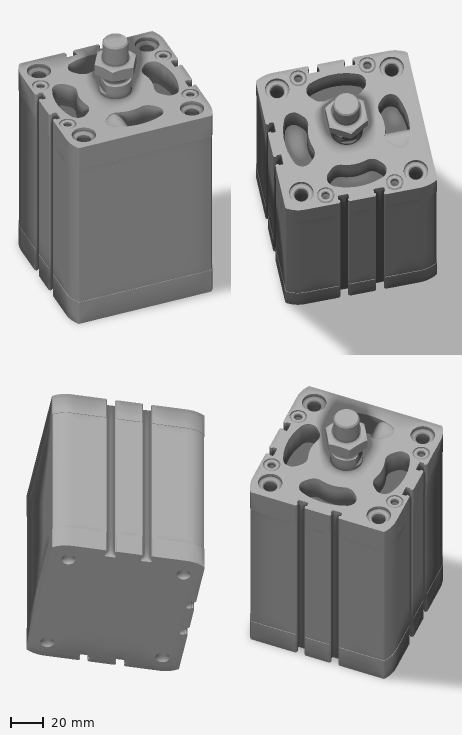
import cadquery as cq
import math


BODY_WIDTH = 95.5
BODY_HEIGHT = 133.8
CAP_HEIGHT = 16.3
BARREL_INSET = 0.3
CORNER_ARC_START = 36.2
CORNER_ARC_RADIUS = 21.0
CORNER_EDGE_RADIUS = 1.2

SLOT_OFFSET = 11.25
SLOT_NECK_WIDTH = 5.0
SLOT_WIDTH = 6.8
SLOT_DEPTH = 5.1
SLOT_LIP = 2.0
SLOT_LIP_CHAMFER = 0.8
SLOT_ROUND = 0.7

MOUNT_OFFSET = 36.0
MOUNT_BORE_DIAMETER = 8.57
MOUNT_CHAMFER_DIAMETER = 10.0
MOUNT_RECESS_DIAMETER = 15.0
MOUNT_RECESS_DEPTH = 2.6

SCREW_X = 21.7
SCREW_Y = 40.8
SCREW_RECESS_DIAMETER = 10.7
SCREW_RECESS_DEPTH = 1.0
SCREW_HEAD_DIAMETER = 10.0
SCREW_HEAD_TOP_DIAMETER = 8.38
SCREW_SOCKET_DIAMETER = 5.0
SCREW_SOCKET_RIM_DIAMETER = 6.0
SCREW_SOCKET_DEPTH = 3.0
SCREW_SOCKET_CONE_ANGLE = 120.0

POCKET_INNER_RADIUS = 23.7
POCKET_OUTER_RADIUS = 39.0
POCKET_INNER_ROUND = 7.2
POCKET_OUTER_ROUND = 6.0
RIB_HALF_WIDTH = 6.6
POCKET_DEPTH = 16.0
POCKET_DRAFT = 2.5

PORT_BOSS_RADIUS = 7.5
PORT_BOSS_Y = -11.8
PORT_BOSS_TOP = -0.5

ROD_DIAMETER = 20.0
ROD_SHOULDER_Z = 9.4
ROD_TOP_Z = 37.6
ROD_INSERTION = CAP_HEIGHT
ROD_FLAT_WIDTH = 17.0
ROD_FLAT_START_Z = 2.6
ROD_FLAT_RUNOUT_ANGLE = 35.0
THREAD_DIAMETER = 16.0
THREAD_TOP_DIAMETER = 14.38
THREAD_TOP_CHAMFER = 1.1
NECK_DIAMETER = 13.5
NECK_BASE_DIAMETER = 14.38
NECK_FLARE_TOP_Z = 10.5
NECK_TOP_Z = 12.2
NECK_CONE_ANGLE = 20.0

NUT_BOTTOM_Z = 15.4
NUT_HEIGHT = 8.0
NUT_ACROSS_FLATS = 24.0
NUT_CHAMFER_ANGLE = 20.0


def four_places(x, y):
    """The point (x, y) mirrored into all four quadrants."""
    return [(sx * x, sy * y) for sx in (-1, 1) for sy in (-1, 1)]


def revolved(points):
    """Solid of revolution about Z from (radius, z) points."""
    return cq.Workplane("XZ").polyline(points).close().revolve(360, (0, 0, 0), (0, 1, 0))


def housing_prism(inset, z_bottom, height):
    """Square prism with flat sides joined by wide corner arcs."""
    half = BODY_WIDTH / 2 - inset
    arc_center_y = half - CORNER_ARC_RADIUS

    def arc_height(x):
        return arc_center_y + math.sqrt(CORNER_ARC_RADIUS**2 - (x - CORNER_ARC_START) ** 2)

    x_mid = (CORNER_ARC_START + half) / 2
    y_mid = arc_height(x_mid)
    y_end = arc_height(half)
    start = CORNER_ARC_START
    prism = (
        cq.Workplane("XY", origin=(0, 0, z_bottom))
        .moveTo(-start, half)
        .lineTo(start, half)
        .threePointArc((x_mid, y_mid), (half, y_end))
        .lineTo(half, -y_end)
        .threePointArc((x_mid, -y_mid), (start, -half))
        .lineTo(-start, -half)
        .threePointArc((-x_mid, -y_mid), (-half, -y_end))
        .lineTo(-half, y_end)
        .threePointArc((-x_mid, y_mid), (-start, half))
        .close()
        .extrude(height)
    )
    return prism.edges("|Z").edges("<X or >X").fillet(CORNER_EDGE_RADIUS)


def t_slot():
    """T-slot cutter open towards +Y, standing on the +Y side at x = 0."""
    face = BODY_WIDTH / 2
    floor = face - SLOT_DEPTH
    height = BODY_HEIGHT
    neck = SLOT_NECK_WIDTH / 2
    mouth = neck + SLOT_LIP_CHAMFER
    wide_length = SLOT_DEPTH - SLOT_LIP
    wide = (
        cq.Workplane("XY", origin=(0, floor + wide_length / 2, -height / 2))
        .box(SLOT_WIDTH, wide_length, height)
        .edges("|Z")
        .fillet(SLOT_ROUND)
    )
    opening = (
        cq.Workplane("XY", origin=(0, 0, -height))
        .polyline([
            (-neck, floor), (neck, floor), (neck, face - SLOT_LIP_CHAMFER),
            (mouth, face), (-mouth, face), (-neck, face - SLOT_LIP_CHAMFER),
        ])
        .close()
        .extrude(height)
    )
    return wide.union(opening)


def mounting_hole():
    """Through bore with a chamfered rim at the floor of a round recess."""
    bore = MOUNT_BORE_DIAMETER / 2
    rim = MOUNT_CHAMFER_DIAMETER / 2
    recess = MOUNT_RECESS_DIAMETER / 2
    floor = -MOUNT_RECESS_DEPTH
    return revolved([
        (0, 0), (recess, 0), (recess, floor), (rim, floor),
        (bore, floor - (rim - bore)), (bore, -BODY_HEIGHT), (0, -BODY_HEIGHT),
    ])


def screw_gap():
    """Ring-shaped gap around a cap screw head with a chamfered edge."""
    outer = SCREW_RECESS_DIAMETER / 2
    head = SCREW_HEAD_DIAMETER / 2
    head_top = SCREW_HEAD_TOP_DIAMETER / 2
    return revolved([
        (head_top, 0), (outer, 0), (outer, -SCREW_RECESS_DEPTH),
        (head, -SCREW_RECESS_DEPTH), (head, head_top - head),
    ])


def screw_socket():
    """Blind hole in a cap screw, with a chamfered rim and a conical end."""
    bore = SCREW_SOCKET_DIAMETER / 2
    rim = SCREW_SOCKET_RIM_DIAMETER / 2
    tip = bore / math.tan(math.radians(SCREW_SOCKET_CONE_ANGLE / 2))
    return revolved([
        (0, 0), (rim, 0), (bore, bore - rim),
        (bore, -SCREW_SOCKET_DEPTH), (0, -SCREW_SOCKET_DEPTH - tip),
    ])


def pocket_outline(inset, z):
    """Wire of a pocket centred on the +X axis: a ring sector between diagonal ribs, rounded off."""
    inner_radius = POCKET_INNER_RADIUS + inset
    outer_radius = POCKET_OUTER_RADIUS - inset
    inner_round = POCKET_INNER_ROUND - inset
    outer_round = POCKET_OUTER_ROUND - inset
    rib = RIB_HALF_WIDTH + inset
    rib_slope = math.radians(45)

    def round_center(distance, radius):
        angle = rib_slope - math.asin((rib + radius) / distance)
        return (distance * math.cos(angle), distance * math.sin(angle))

    def on_round(center, radius, angle):
        return (center[0] + radius * math.cos(angle), center[1] + radius * math.sin(angle))

    def mirrored(point):
        return (point[0], -point[1])

    outer = round_center(outer_radius - outer_round, outer_round)
    inner = round_center(inner_radius + inner_round, inner_round)
    rib_normal = rib_slope + math.pi / 2
    outer_start = math.atan2(outer[1], outer[0])
    inner_end = math.atan2(inner[1], inner[0]) + math.pi
    outer_a = on_round(outer, outer_round, outer_start)
    outer_b = on_round(outer, outer_round, (outer_start + rib_normal) / 2)
    outer_c = on_round(outer, outer_round, rib_normal)
    inner_a = on_round(inner, inner_round, rib_normal)
    inner_b = on_round(inner, inner_round, (rib_normal + inner_end) / 2)
    inner_c = on_round(inner, inner_round, inner_end)
    outline = (
        cq.Workplane("XY", origin=(0, 0, z))
        .moveTo(*mirrored(outer_a))
        .threePointArc((outer_radius, 0), outer_a)
        .threePointArc(outer_b, outer_c)
        .lineTo(*inner_a)
        .threePointArc(inner_b, inner_c)
        .threePointArc((inner_radius, 0), mirrored(inner_c))
        .threePointArc(mirrored(inner_b), mirrored(inner_a))
        .lineTo(*mirrored(outer_c))
        .threePointArc(mirrored(outer_b), mirrored(outer_a))
        .close()
    )
    return outline.val()


def kidney_pocket():
    """Pocket cutter on the +X side whose drafted walls close in towards the floor."""
    floor_inset = POCKET_DEPTH * math.tan(math.radians(POCKET_DRAFT))
    rim = pocket_outline(0, 0)
    floor = pocket_outline(floor_inset, -POCKET_DEPTH)
    return cq.Workplane(cq.Solid.makeLoft([rim, floor], True))


def port_boss():
    """Material left in the +X pocket: a quarter round running along X, flat beyond it."""
    length = BODY_WIDTH / 2
    center_z = PORT_BOSS_TOP - PORT_BOSS_RADIUS
    sin45 = math.sin(math.radians(45))
    return (
        cq.Workplane("YZ")
        .moveTo(-BODY_WIDTH / 2, PORT_BOSS_TOP)
        .lineTo(PORT_BOSS_Y, PORT_BOSS_TOP)
        .threePointArc(
            (PORT_BOSS_Y + PORT_BOSS_RADIUS * sin45, center_z + PORT_BOSS_RADIUS * sin45),
            (PORT_BOSS_Y + PORT_BOSS_RADIUS, center_z),
        )
        .lineTo(PORT_BOSS_Y + PORT_BOSS_RADIUS, -POCKET_DEPTH)
        .lineTo(-BODY_WIDTH / 2, -POCKET_DEPTH)
        .close()
        .extrude(length)
    )


def build_housing():
    body = housing_prism(0, -CAP_HEIGHT, CAP_HEIGHT)
    barrel_height = BODY_HEIGHT - 2 * CAP_HEIGHT
    body = body.union(housing_prism(BARREL_INSET, CAP_HEIGHT - BODY_HEIGHT, barrel_height))
    body = body.union(housing_prism(0, -BODY_HEIGHT, CAP_HEIGHT))

    for turn in (0, 90, 180):
        for offset in (-SLOT_OFFSET, SLOT_OFFSET):
            slot = t_slot().translate((offset, 0, 0))
            body = body.cut(slot.rotate((0, 0, 0), (0, 0, 1), turn))

    for x, y in four_places(MOUNT_OFFSET, MOUNT_OFFSET):
        body = body.cut(mounting_hole().translate((x, y, 0)))
    for x, y in four_places(SCREW_X, SCREW_Y):
        body = body.cut(screw_gap().translate((x, y, 0)))
        body = body.cut(screw_socket().translate((x, y, 0)))

    body = body.cut(kidney_pocket().cut(port_boss()))
    for turn in (90, 180, 270):
        body = body.cut(kidney_pocket().rotate((0, 0, 0), (0, 0, 1), turn))

    rod_bore = cq.Workplane("XY").circle(ROD_DIAMETER / 2).extrude(-ROD_INSERTION)
    return body.cut(rod_bore)


def rod_flat():
    """Cutter for the wrench flat on the +Y side, with a sloped run-out at its lower end."""
    flat = ROD_FLAT_WIDTH / 2
    rod = ROD_DIAMETER / 2
    return (
        cq.Workplane("YZ")
        .polyline([
            (flat, ROD_SHOULDER_Z), (flat, ROD_FLAT_START_Z),
            (rod, ROD_FLAT_START_Z - (rod - flat) * math.tan(math.radians(ROD_FLAT_RUNOUT_ANGLE))),
            (rod, ROD_SHOULDER_Z),
        ])
        .close()
        .extrude(rod, both=True)
    )


def build_rod():
    rod = ROD_DIAMETER / 2
    neck = NECK_DIAMETER / 2
    thread = THREAD_DIAMETER / 2
    cone_top = NECK_TOP_Z + (thread - neck) / math.tan(math.radians(NECK_CONE_ANGLE))
    body = revolved([
        (0, -ROD_INSERTION), (rod, -ROD_INSERTION), (rod, ROD_SHOULDER_Z),
        (NECK_BASE_DIAMETER / 2, ROD_SHOULDER_Z), (neck, NECK_FLARE_TOP_Z), (neck, NECK_TOP_Z),
        (thread, cone_top), (thread, ROD_TOP_Z - THREAD_TOP_CHAMFER),
        (THREAD_TOP_DIAMETER / 2, ROD_TOP_Z), (0, ROD_TOP_Z),
    ])
    for turn in (0, 180):
        body = body.cut(rod_flat().rotate((0, 0, 0), (0, 0, 1), turn))
    return body


def build_nut():
    """Hexagon nut with two flats facing X and corners chamfered on both ends."""
    corner = NUT_ACROSS_FLATS / 2 / math.cos(math.radians(30))
    flat = NUT_ACROSS_FLATS / 2
    drop = (corner - flat) * math.tan(math.radians(NUT_CHAMFER_ANGLE))
    top = NUT_BOTTOM_Z + NUT_HEIGHT
    nut = (
        cq.Workplane("XY", origin=(0, 0, NUT_BOTTOM_Z))
        .polygon(6, 2 * corner)
        .extrude(NUT_HEIGHT)
        .rotate((0, 0, 0), (0, 0, 1), 90)
    )
    chamfer_envelope = revolved([
        (0, NUT_BOTTOM_Z), (flat, NUT_BOTTOM_Z), (corner, NUT_BOTTOM_Z + drop),
        (corner, top - drop), (flat, top), (0, top),
    ])
    return nut.intersect(chamfer_envelope)


housing = build_housing()
rod = build_rod()
nut = build_nut().cut(rod)

result = cq.Compound.makeCompound([housing.val(), rod.val(), nut.val()])